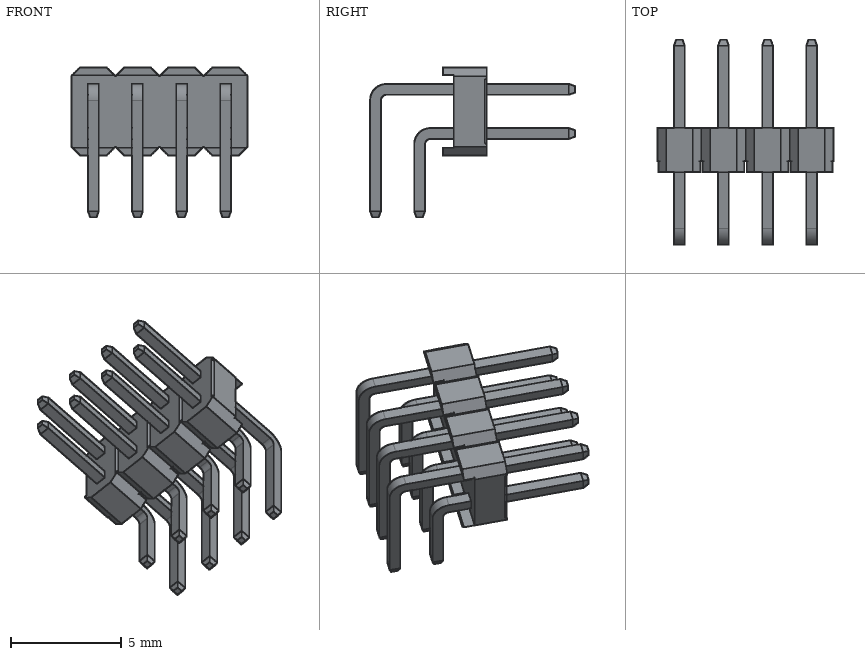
import cadquery as cq

pitch = 2.0
columns = 4
row_count = 2

housing_width = columns * pitch
housing_height = row_count * pitch
body_depth = 1.51
lip_depth = pitch
lip_height = 0.35
corner_chamfer = 0.4
notch_depth = 0.1
notch_half_width = notch_depth
notch_end_gap = 0.48

pin_width = 0.5
inner_bend_radius = 0.25
outer_bend_radius = inner_bend_radius + pin_width
rear_reach = 4.0
overall_depth = 9.3
overall_height = 6.8
tip_length = 0.28
tip_width = 0.3

pin_bottom = housing_height / 2 - overall_height
column_positions = [(i - (columns - 1) / 2) * pitch for i in range(columns)]
boundary_positions = [(i - columns / 2) * pitch for i in range(columns + 1)]


def make_housing_cell(x):
    """One octagonal cell, cut back at the front to leave a lip along its top and bottom."""
    cell = (
        cq.Workplane("XY")
        .box(pitch, lip_depth, housing_height)
        .edges("|Y")
        .chamfer(corner_chamfer)
        .translate((x, -lip_depth / 2, 0))
    )
    recess_depth = lip_depth - body_depth
    recess = cq.Workplane("XY").box(pitch, recess_depth, housing_height - 2 * lip_height)
    return cell.cut(recess.translate((x, -body_depth - recess_depth / 2, 0)))


def make_rear_notch(x):
    """A shallow V groove with sloping ends in the rear face at a cell boundary."""
    mouth_height = housing_height - 2 * notch_end_gap
    floor_height = mouth_height - 2 * notch_depth
    groove = (
        cq.Workplane("XY")
        .polyline([(x - notch_half_width, 0), (x, -notch_depth), (x + notch_half_width, 0)])
        .close()
        .extrude(mouth_height / 2, both=True)
    )
    sloping_ends = (
        cq.Workplane("YZ")
        .polyline([
            (0, -mouth_height / 2),
            (-notch_depth, -floor_height / 2),
            (-notch_depth, floor_height / 2),
            (0, mouth_height / 2),
        ])
        .close()
        .extrude(notch_half_width, both=True)
        .translate((x, 0, 0))
    )
    return groove.intersect(sloping_ends)


def make_tip(plane):
    """A square tapered tip pointing along the normal of the given plane."""
    return (
        cq.Workplane(plane)
        .rect(pin_width, pin_width)
        .workplane(offset=tip_length)
        .rect(tip_width, tip_width)
        .loft(ruled=True)
    )


def make_pin(x, z, front):
    """A square pin along Y at height z, bent down so its front face is at Y = front."""
    half = pin_width / 2
    rear = rear_reach - tip_length
    bottom = pin_bottom + tip_length
    bent_bar = (
        cq.Workplane("YZ", origin=(x - half, 0, 0))
        .moveTo(rear, z + half)
        .lineTo(front + outer_bend_radius, z + half)
        .radiusArc((front, z + half - outer_bend_radius), -outer_bend_radius)
        .lineTo(front, bottom)
        .lineTo(front + pin_width, bottom)
        .lineTo(front + pin_width, z - half - inner_bend_radius)
        .radiusArc((front + outer_bend_radius, z - half), inner_bend_radius)
        .lineTo(rear, z - half)
        .close()
        .extrude(pin_width)
    )
    rear_tip = make_tip(cq.Plane((x, rear, z), (1, 0, 0), (0, 1, 0)))
    lower_tip = make_tip(cq.Plane((x, front + half, bottom), (1, 0, 0), (0, 0, -1)))
    return bent_bar.union(rear_tip).union(lower_tip)


result = make_housing_cell(column_positions[0])
for column_x in column_positions[1:]:
    result = result.union(make_housing_cell(column_x))
for boundary_x in boundary_positions:
    result = result.cut(make_rear_notch(boundary_x))

outer_front = rear_reach - overall_depth
for row in range(row_count):
    row_z = ((row_count - 1) / 2 - row) * pitch
    row_front = outer_front + row * pitch
    for column_x in column_positions:
        result = result.union(make_pin(column_x, row_z, row_front))